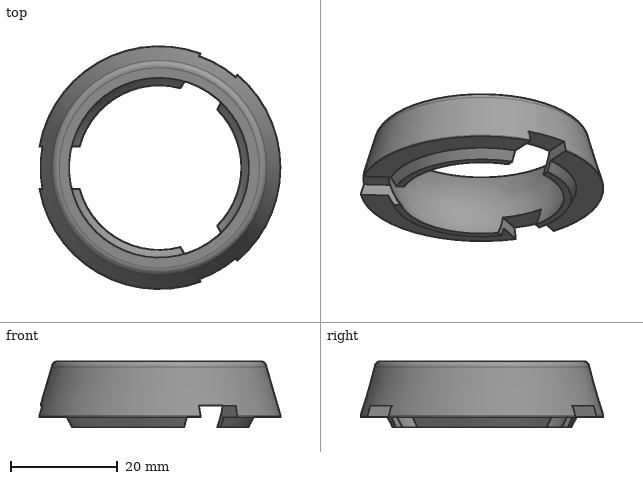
import cadquery as cq

total_height = 12.4
rim_radius = 22.75
rim_bottom = 1.9
rim_band = 0.3
shoulder_radius = 20.15
shoulder_height = 11.35
top_flat_radius = 18.75
shoulder_bulge = (19.75, 12.05)

spigot_root_radius = 17.75
spigot_end_radius = 16.75

top_bore_radius = 16.85
bottom_bore_radius = 15.4

notch_count = 3
first_notch_angle = 60
notch_width = 7.92
notch_height = 4.05
bore_radius_at_notch_top = 17.4


def make_ring():
    """Revolve the wall section about Z; its inner side is a bulging arc."""
    section = (
        cq.Workplane("XZ")
        .moveTo(bottom_bore_radius, 0)
        .lineTo(spigot_end_radius, 0)
        .lineTo(spigot_root_radius, rim_bottom)
        .lineTo(rim_radius, rim_bottom)
        .lineTo(rim_radius, rim_bottom + rim_band)
        .lineTo(shoulder_radius, shoulder_height)
        .threePointArc(shoulder_bulge, (top_flat_radius, total_height))
        .lineTo(top_bore_radius, total_height)
        .threePointArc((bore_radius_at_notch_top, notch_height), (bottom_bore_radius, 0))
        .close()
    )
    return section.revolve(360, (0, 0, 0), (0, 1, 0))


def make_notch(angle):
    """Make a radial block that cuts one side of the wall from below."""
    return (
        cq.Workplane("XY")
        .box(2 * rim_radius, notch_width, notch_height, centered=(False, True, False))
        .rotate((0, 0, 0), (0, 0, 1), angle)
    )


result = make_ring()
for index in range(notch_count):
    result = result.cut(make_notch(first_notch_angle + index * 360 / notch_count))